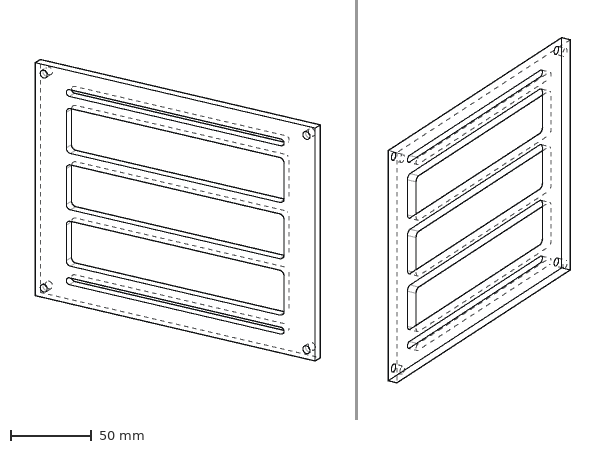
import cadquery as cq

plate_length = 203.2
plate_thickness = 6.3
plate_height = 155.5

hole_diameter = 5.0
hole_inset = 6.3

opening_length = 157.9
window_height = 29.9
window_pitch = 37.5
window_corner_radius = 3.0

slot_height = 4.5
slot_offset = 62.8


def through_cutter(sketch):
    """Extrude a centred XZ outline through the whole plate."""
    return sketch.extrude(plate_thickness, both=True)


def window_cutter():
    centers = [(0, row * window_pitch) for row in (-1, 0, 1)]
    outline = cq.Workplane("XZ").pushPoints(centers).rect(opening_length, window_height)
    return through_cutter(outline).edges("|Y").fillet(window_corner_radius)


def slot_cutter():
    centers = [(0, side * slot_offset) for side in (-1, 1)]
    return through_cutter(cq.Workplane("XZ").pushPoints(centers).slot2D(opening_length, slot_height))


def hole_cutter():
    spacing_x = plate_length - 2 * hole_inset
    spacing_z = plate_height - 2 * hole_inset
    holes = cq.Workplane("XZ").rarray(spacing_x, spacing_z, 2, 2).circle(hole_diameter / 2)
    return through_cutter(holes)


plate = cq.Workplane("XY").box(plate_length, plate_thickness, plate_height)
result = plate.cut(window_cutter()).cut(slot_cutter()).cut(hole_cutter())